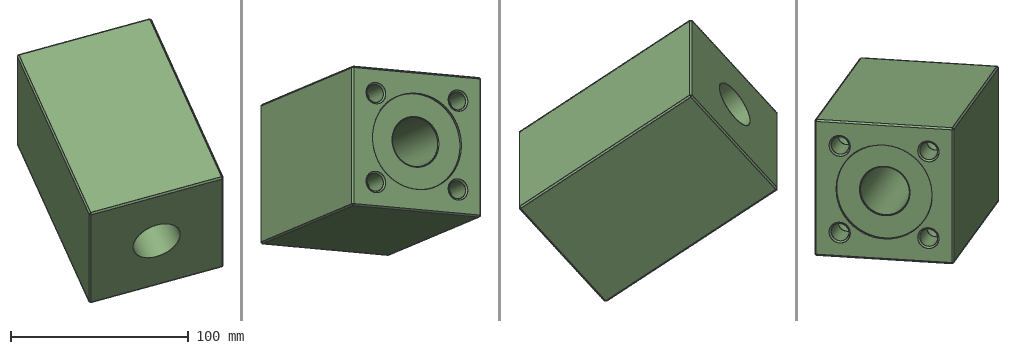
import cadquery as cq
import math

length = 123.0
side = 80.0
edge_chamfer = 1.0

bore_diameter = 28.0
bore_chamfer = 0.5
recess_diameter = 55.1
recess_depth = 2.0

hole_diameter = 10.2
hole_depth = 19.7
drill_point_angle = 140.0
countersink_diameter = 12.2
countersink_angle = 90.0
hole_offset = 25.5

end_x = -length / 2


def cone_height(diameter, included_angle):
    """Axial length of a cone from the given diameter to its tip."""
    return diameter / 2 / math.tan(math.radians(included_angle / 2))


def turned_cutter(profile):
    """Revolve (depth, radius) points about the X axis, starting at the -X end face."""
    points = [(end_x + depth, radius) for depth, radius in profile]
    return cq.Workplane("XY").polyline(points).close().revolve(360, (0, 0, 0), (1, 0, 0))


def bore_with_recess():
    recess_radius = recess_diameter / 2
    bore_radius = bore_diameter / 2
    return turned_cutter([
        (0, 0),
        (0, recess_radius),
        (recess_depth, recess_radius),
        (recess_depth, bore_radius + bore_chamfer),
        (recess_depth + bore_chamfer, bore_radius),
        (length, bore_radius),
        (length, 0),
    ])


def bolt_hole():
    hole_radius = hole_diameter / 2
    sink_depth = cone_height(countersink_diameter - hole_diameter, countersink_angle)
    return turned_cutter([
        (0, 0),
        (0, countersink_diameter / 2),
        (sink_depth, hole_radius),
        (hole_depth, hole_radius),
        (hole_depth + cone_height(hole_diameter, drill_point_angle), 0),
    ])


block = cq.Workplane("XY").box(length, side, side).edges().chamfer(edge_chamfer)
result = block.cut(bore_with_recess())
for y in (-hole_offset, hole_offset):
    for z in (-hole_offset, hole_offset):
        result = result.cut(bolt_hole().translate((0, y, z)))